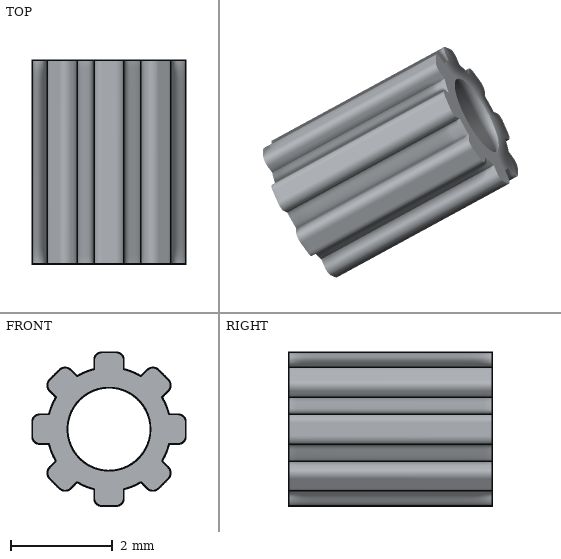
import cadquery as cq

length = 4.0
outer_size = 3.02
bore_diameter = 1.625
root_diameter = 2.43
tooth_count = 8
tooth_width = 0.59
tip_radius = 0.155

bore_radius = bore_diameter / 2
root_radius = root_diameter / 2
tip_distance = outer_size / 2
tooth_start = (bore_radius + root_radius) / 2
tooth_height = tip_distance - tooth_start


def make_tooth():
    """Straight tooth pointing along +X, with rounded tip edges."""
    return (
        cq.Workplane("XY")
        .box(tooth_height, length, tooth_width)
        .translate((tooth_start + tooth_height / 2, 0, 0))
        .faces(">X")
        .edges("|Y")
        .fillet(tip_radius)
    )


def make_ring():
    """Plain hollow sleeve that carries the teeth."""
    return (
        cq.Workplane("XZ")
        .circle(root_radius)
        .circle(bore_radius)
        .extrude(length / 2, both=True)
    )


result = make_ring()
tooth = make_tooth()
for index in range(tooth_count):
    angle = index * 360 / tooth_count
    result = result.union(tooth.rotate((0, 0, 0), (0, 1, 0), angle))